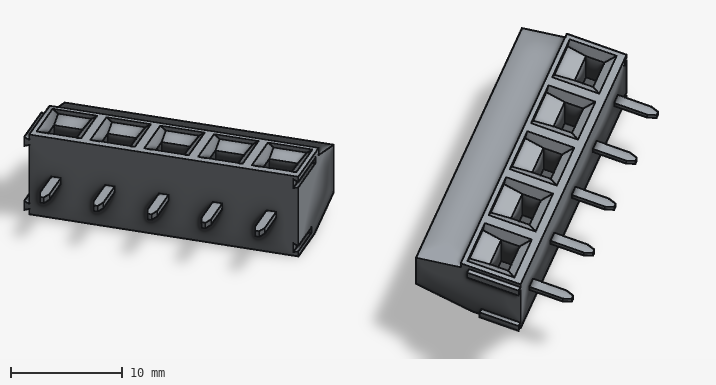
import cadquery as cq


overall_length = 25.9
poles = 5
rail_height = 0.5
pitch = (overall_length - rail_height) / poles

housing_length = poles * pitch
housing_depth = 10.1
housing_height = 8.1
top_face_depth = 5.78
top_step = 0.73
back_top_drop = 1.86
back_top_z = housing_height - back_top_drop
back_bottom_z = 1.45
bottom_face_depth = 4.65

rail_root_width = 0.55
rail_tip_width = 0.9
rail_edge_distance = 0.8
upper_rail_length = 4.97
lower_rail_length = 3.78

well_width = 4.2
well_front_y = 0.78
well_back_y = 5.3
shaft_width = 2.7
shaft_front_y = 1.65
shaft_back_y = 3.45
funnel_depth = 0.6
back_wall_depth = 0.41
shaft_depth = 3.88

pin_length = 4.0
pin_width = 0.9
pin_thickness = 0.57
pin_z = 3.9
pin_taper_length = 0.78
pin_tip_width = 0.35


def make_housing():
    """Side profile swept along the row."""
    profile = [
        (0, 0),
        (bottom_face_depth, 0),
        (housing_depth, back_bottom_z),
        (housing_depth, back_top_z),
        (top_face_depth, housing_height - top_step),
        (top_face_depth, housing_height),
        (0, housing_height),
    ]
    return cq.Workplane("YZ").polyline(profile).close().extrude(housing_length)


def make_dovetail(root_x, z, length):
    """Dovetail bar widening towards -X, running back from the pin face."""
    tip_x = root_x - rail_height
    section = [
        (root_x, z - rail_root_width / 2),
        (root_x, z + rail_root_width / 2),
        (tip_x, z + rail_tip_width / 2),
        (tip_x, z - rail_tip_width / 2),
    ]
    return cq.Workplane("XZ").polyline(section).close().extrude(-length)


def make_well(center_x):
    """Funnel with four sloping sides, opening into a straight blind shaft."""
    well_depth_y = well_back_y - well_front_y
    shaft_depth_y = shaft_back_y - shaft_front_y
    shaft_center_y = (shaft_front_y + shaft_back_y) / 2
    funnel_floor_z = housing_height - funnel_depth
    inset = (well_width - shaft_width) / 2

    trough_section = [
        (center_x - well_width / 2, housing_height),
        (center_x + well_width / 2, housing_height),
        (center_x + well_width / 2 - inset, funnel_floor_z),
        (center_x - well_width / 2 + inset, funnel_floor_z),
    ]
    trough = (
        cq.Workplane("XZ", origin=(0, well_front_y, 0))
        .polyline(trough_section).close()
        .extrude(-well_depth_y)
    )
    side_profile = [
        (well_front_y, housing_height),
        (well_back_y, housing_height),
        (well_back_y, housing_height - back_wall_depth),
        (shaft_back_y, funnel_floor_z),
        (shaft_front_y, funnel_floor_z),
    ]
    side = (
        cq.Workplane("YZ", origin=(center_x - well_width / 2, 0, 0))
        .polyline(side_profile).close()
        .extrude(well_width)
    )
    shaft = (
        cq.Workplane("XY", origin=(center_x, shaft_center_y, funnel_floor_z))
        .rect(shaft_width, shaft_depth_y)
        .extrude(-shaft_depth)
    )
    return trough.intersect(side).union(shaft)


def make_pin(center_x):
    """Flat pin with its width tapered at the tip."""
    shoulder_y = pin_taper_length - pin_length
    outline = [
        (center_x - pin_width / 2, 0),
        (center_x + pin_width / 2, 0),
        (center_x + pin_width / 2, shoulder_y),
        (center_x + pin_tip_width / 2, -pin_length),
        (center_x - pin_tip_width / 2, -pin_length),
        (center_x - pin_width / 2, shoulder_y),
    ]
    return (
        cq.Workplane("XY", origin=(0, 0, pin_z - pin_thickness / 2))
        .polyline(outline).close()
        .extrude(pin_thickness)
    )


result = make_housing()

dovetails = [
    (housing_height - rail_edge_distance, upper_rail_length),
    (rail_edge_distance, lower_rail_length),
]
for dovetail_z, dovetail_length in dovetails:
    result = result.union(make_dovetail(0, dovetail_z, dovetail_length))
    result = result.cut(make_dovetail(housing_length, dovetail_z, dovetail_length))

for pole in range(poles):
    pole_x = (pole + 0.5) * pitch
    result = result.cut(make_well(pole_x))
    result = result.union(make_pin(pole_x))